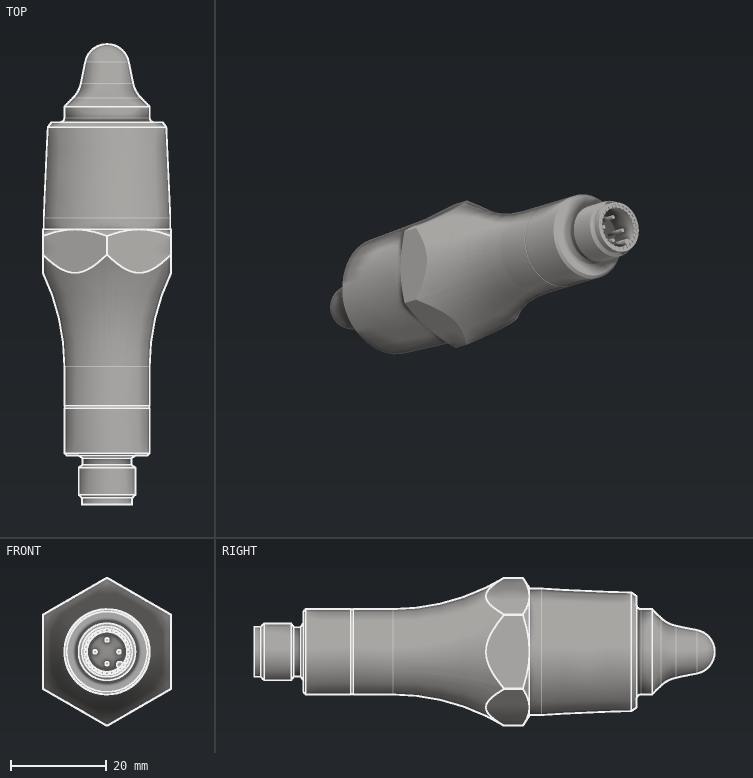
import cadquery as cq
import math

TOTAL_LENGTH = 96.84

NOSE_D = 10.6
NOSE_END = 1.4
PLUG_D = 12.0
PLUG_START = 2.1
PLUG_END = 7.75
NECK_D = 10.4
NECK_START = 8.35
NECK_END = 9.75
NECK_FLARE_D = 12.0

SLEEVE_D = 18.0
SLEEVE_START = 10.3
SLEEVE_CHAMFER = 0.55
SLEEVE_END = 29.1
GROOVE_CENTER = 20.55
GROOVE_WIDTH = 0.5
GROOVE_DEPTH = 0.1

FLARE_R = 45.0
HEX_SIDES = 6
HEX_FLATS = 27.0
HEX_CORNER_D = 31.09
HEX_CHAMFER_START = 56.5
HEX_END = 57.85

CAP_D = 26.67
CAP_TAPER_START = 60.3
CAP_TAPER_END = 79.3
CAP_FRONT_D = 25.0
CAP_END = 80.4
CAP_CHAMFER = 0.8

TIP_BASE_D = 18.0
TIP_BASE_FILLET = 0.9
TIP_SHOULDER = 83.65
TIP_SHOULDER_ANGLE = math.radians(45)
TIP_FILLET_R = 6.15
TIP_CONE_ANGLE = math.radians(11.5)
TIP_CONE_START = 88.6
TIP_R = 4.7

SOCKET_D = 8.4
SOCKET_DEPTH = 6.7
NOTCH_D = 9.6
NOTCH_COUNT = 28
NOTCH_WIDTH = 0.7
NOTCH_DEPTH = 0.3
PIN_D = 0.8
PIN_CIRCLE_R = 2.5
PIN_COUNT = 4
PIN_RECESS = 1.9
KEY_D = 1.3
KEY_OFFSET = 2.7
KEY_RECESS = 0.5


def disc(diameter, start, length):
    """Cylinder on the part axis, running from station start along +Y."""
    plane = cq.Workplane("XZ", origin=(0, start, 0))
    return plane.circle(diameter / 2).extrude(-length)


def flare_station(radius):
    """Station at which the concave flare reaches the given radius."""
    drop = FLARE_R - (radius - SLEEVE_D / 2)
    return SLEEVE_END + math.sqrt(FLARE_R**2 - drop**2)


def flare_radius(station):
    """Radius of the concave flare at the given station."""
    return SLEEVE_D / 2 + FLARE_R - math.sqrt(FLARE_R**2 - (station - SLEEVE_END) ** 2)


def make_rear():
    """Connector plug and rear sleeve as one turned shape."""
    sleeve_r = SLEEVE_D / 2
    return (
        cq.Workplane("XY")
        .moveTo(0, 0)
        .lineTo(NOSE_D / 2, 0)
        .lineTo(NOSE_D / 2, NOSE_END)
        .lineTo(PLUG_D / 2, PLUG_START)
        .lineTo(PLUG_D / 2, PLUG_END)
        .lineTo(NECK_D / 2, NECK_START)
        .lineTo(NECK_D / 2, NECK_END)
        .lineTo(NECK_FLARE_D / 2, SLEEVE_START)
        .lineTo(sleeve_r - SLEEVE_CHAMFER, SLEEVE_START)
        .lineTo(sleeve_r, SLEEVE_START + SLEEVE_CHAMFER)
        .lineTo(sleeve_r, SLEEVE_END)
        .lineTo(0, SLEEVE_END)
        .close()
        .revolve(360, (0, 0, 0), (0, 1, 0))
    )


def make_hexagon():
    """Hexagon blended into the sleeve by a concave flare and chamfered at its front."""
    corner_r = HEX_CORNER_D / 2
    flare_end = flare_station(corner_r)
    flare_middle = (SLEEVE_END + flare_end) / 2
    turned = (
        cq.Workplane("XY")
        .moveTo(0, SLEEVE_END)
        .lineTo(SLEEVE_D / 2, SLEEVE_END)
        .threePointArc((flare_radius(flare_middle), flare_middle), (corner_r, flare_end))
        .lineTo(corner_r, HEX_CHAMFER_START)
        .lineTo(HEX_FLATS / 2, HEX_END)
        .lineTo(0, HEX_END)
        .close()
        .revolve(360, (0, 0, 0), (0, 1, 0))
    )
    across_corners = HEX_FLATS / math.cos(math.pi / HEX_SIDES)
    prism = (
        cq.Workplane("XZ", origin=(0, SLEEVE_END, 0))
        .polygon(HEX_SIDES, across_corners)
        .extrude(SLEEVE_END - HEX_END)
        .rotate((0, 0, 0), (0, 1, 0), 180 / HEX_SIDES)
    )
    return turned.intersect(prism)


def make_cap_and_tip():
    """Tapered front cap carrying the rounded tip."""
    cap_front_r = CAP_FRONT_D / 2
    base_r = TIP_BASE_D / 2

    dome_start_r = TIP_R * math.cos(TIP_CONE_ANGLE)
    dome_center = TOTAL_LENGTH - TIP_R
    dome_start = dome_center + TIP_R * math.sin(TIP_CONE_ANGLE)
    dome_middle_angle = (TIP_CONE_ANGLE + math.pi / 2) / 2
    dome_middle = (
        TIP_R * math.cos(dome_middle_angle),
        dome_center + TIP_R * math.sin(dome_middle_angle),
    )

    cone_r = dome_start_r + (dome_start - TIP_CONE_START) * math.tan(TIP_CONE_ANGLE)
    fillet_center_r = cone_r + TIP_FILLET_R * math.cos(TIP_CONE_ANGLE)
    fillet_center = TIP_CONE_START + TIP_FILLET_R * math.sin(TIP_CONE_ANGLE)

    def fillet_point(angle):
        return (
            fillet_center_r - TIP_FILLET_R * math.cos(angle),
            fillet_center - TIP_FILLET_R * math.sin(angle),
        )

    fillet_middle_angle = (TIP_CONE_ANGLE + TIP_SHOULDER_ANGLE) / 2

    base_fillet_reach = TIP_BASE_FILLET * (1 - math.sqrt(0.5))
    base_fillet_middle = (base_r + base_fillet_reach, CAP_END + base_fillet_reach)

    return (
        cq.Workplane("XY")
        .moveTo(0, HEX_END)
        .lineTo(CAP_D / 2, HEX_END)
        .lineTo(CAP_D / 2, CAP_TAPER_START)
        .lineTo(cap_front_r, CAP_TAPER_END)
        .lineTo(cap_front_r - CAP_CHAMFER, CAP_END)
        .lineTo(base_r + TIP_BASE_FILLET, CAP_END)
        .threePointArc(base_fillet_middle, (base_r, CAP_END + TIP_BASE_FILLET))
        .lineTo(base_r, TIP_SHOULDER)
        .lineTo(*fillet_point(TIP_SHOULDER_ANGLE))
        .threePointArc(fillet_point(fillet_middle_angle), (cone_r, TIP_CONE_START))
        .lineTo(dome_start_r, dome_start)
        .threePointArc(dome_middle, (0, TOTAL_LENGTH))
        .close()
        .revolve(360, (0, 0, 0), (0, 1, 0))
    )


def make_joint_groove():
    """Thin ring removed around the rear sleeve."""
    start = GROOVE_CENTER - GROOVE_WIDTH / 2
    outer = disc(SLEEVE_D, start, GROOVE_WIDTH)
    return outer.cut(disc(SLEEVE_D - 2 * GROOVE_DEPTH, start, GROOVE_WIDTH))


def make_mouth_notches():
    """Ring of short radial notches around the socket mouth."""
    outer_r = NOTCH_D / 2
    notches = (
        cq.Workplane("XZ")
        .polarArray(outer_r, 0, 360, NOTCH_COUNT)
        .rect(outer_r, NOTCH_WIDTH)
        .extrude(-NOTCH_DEPTH)
    )
    return notches.intersect(disc(NOTCH_D, 0, NOTCH_DEPTH))


def make_pins():
    """Contact pins standing on the socket floor."""
    return (
        cq.Workplane("XZ", origin=(0, PIN_RECESS, 0))
        .polarArray(PIN_CIRCLE_R, 0, 360, PIN_COUNT)
        .circle(PIN_D / 2)
        .extrude(PIN_RECESS - SOCKET_DEPTH)
    )


def make_key():
    """Round coding key merging into the socket wall, towards +X and -Z."""
    key = disc(KEY_D, KEY_RECESS, SOCKET_DEPTH - KEY_RECESS)
    return key.translate((KEY_OFFSET, 0, -KEY_OFFSET))


result = make_rear().union(make_hexagon()).union(make_cap_and_tip())
result = result.cut(make_joint_groove())
result = result.cut(disc(SOCKET_D, 0, SOCKET_DEPTH)).cut(make_mouth_notches())
result = result.union(make_key()).union(make_pins())